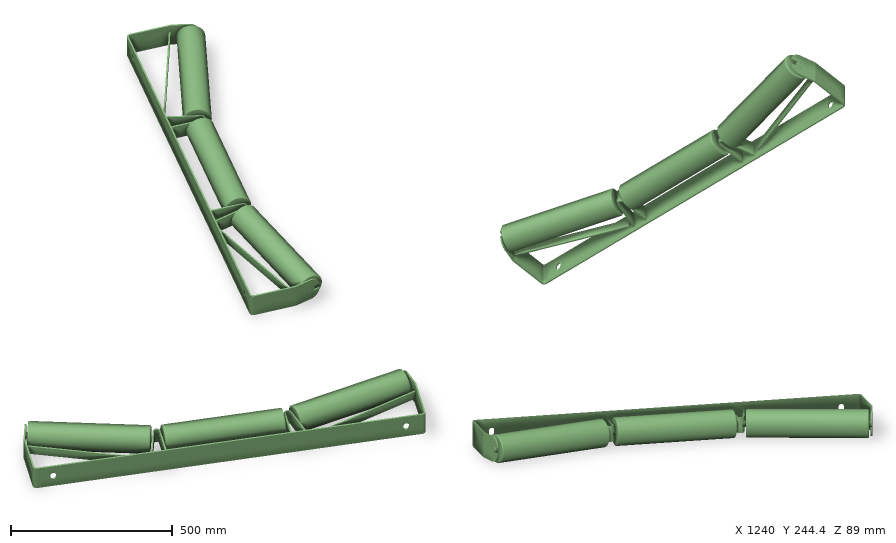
import cadquery as cq
import math


BAR_WIDTH = 80
BAR_THICKNESS = 5
BEND_INNER = 1.5 * BAR_THICKNESS
BEND_OUTER = BEND_INNER + BAR_THICKNESS

FRAME_LENGTH = 1240
TILT_DEGREES = 15
TILT_SIN = math.sin(math.radians(TILT_DEGREES))
TILT_COS = math.cos(math.radians(TILT_DEGREES))
END_ARM_LENGTH = 86
ARM_CORNER_RADIUS = 32
BOLT_SPACING = 1114
BOLT_SLOT_WIDTH = 18
BOLT_SLOT_LENGTH = 25

ROLLER_DIAMETER = 89
ROLLER_LENGTH = 380
ROLLER_EDGE_RADIUS = 4
ROLLER_GAP = 5.1
SHAFT_DIAMETER = 20
SHAFT_FLATS = 18
SLOT_CORNER_RADIUS = 5
SEAT_SPAN = ROLLER_LENGTH + 2 * ROLLER_GAP
CENTRE_ROLLER_HEIGHT = 99
SIDE_ROLLER_HEIGHT = 153.15

BRACKET_WIDTH = 50
BRACKET_HEIGHT = 123
BRACKET_BEND_X = SEAT_SPAN / 2 + BEND_OUTER
BRACKET_BEND_Y = BRACKET_HEIGHT - BEND_OUTER

BRACE_WIDTH = 30
BRACE_THICKNESS = 5
BRACE_WALL_HEIGHT = 137.5
BRACE_FOOT_X = 265

bracket_seat_distance = BRACKET_BEND_X * TILT_COS + BRACKET_BEND_Y * TILT_SIN + BEND_OUTER
side_roller_distance = bracket_seat_distance + SEAT_SPAN / 2
arm_seat_distance = bracket_seat_distance + SEAT_SPAN
side_roller_x = (side_roller_distance - SIDE_ROLLER_HEIGHT * TILT_SIN) / TILT_COS

frame_bend_x = FRAME_LENGTH / 2 - BEND_OUTER
knee_height = (arm_seat_distance - BEND_INNER - frame_bend_x * TILT_COS) / TILT_SIN


def tilted(along, across, origin):
    """Point on the right half: `along` up the tilted arm, `across` outward from it."""
    x = origin[0] - along * TILT_SIN + across * TILT_COS
    y = origin[1] + along * TILT_COS + across * TILT_SIN
    return (x, y)


def extruded(profile, width):
    """Close an XY outline and make it a bar centred on Z = 0."""
    return profile.close().extrude(width).translate((0, 0, -width / 2))


def mirrored(body):
    """Copy of a right-hand body on the left."""
    return body.mirror("YZ")


def place_on_side_axis(body):
    """Move a body lying on the X axis at the origin to the right-hand side roller's axis."""
    turned = body.rotate((0, 0, 0), (0, 0, 1), TILT_DEGREES)
    return turned.translate((side_roller_x, SIDE_ROLLER_HEIGHT, 0))


def seat_slot(end):
    """Cutter for the open slot that one shaft end drops into; `end` is +1 or -1 along X."""
    depth = SHAFT_DIAMETER / 2
    slot = (
        cq.Workplane("XY")
        .box(BAR_THICKNESS, depth + END_ARM_LENGTH, SHAFT_FLATS, centered=(True, False, True))
        .faces("<Y")
        .edges("|X")
        .fillet(SLOT_CORNER_RADIUS)
    )
    return slot.translate((end * (SEAT_SPAN + BAR_THICKNESS) / 2, -depth, 0))


def frame_half():
    """Right half of the bent bar: base, corner bend, end wall, knee bend and tilted end arm."""
    half = FRAME_LENGTH / 2
    knee = (frame_bend_x, knee_height)
    half_turn = math.radians(TILT_DEGREES / 2)

    def knee_middle(radius):
        x = frame_bend_x + radius * math.cos(half_turn)
        return (x, knee_height + radius * math.sin(half_turn))

    def corner_middle(radius):
        return (frame_bend_x + radius * math.sqrt(0.5), BEND_OUTER - radius * math.sqrt(0.5))

    profile = (
        cq.Workplane("XY")
        .lineTo(frame_bend_x, 0)
        .threePointArc(corner_middle(BEND_OUTER), (half, BEND_OUTER))
        .lineTo(half, knee_height)
        .threePointArc(knee_middle(BEND_OUTER), tilted(0, BEND_OUTER, knee))
        .lineTo(*tilted(END_ARM_LENGTH, BEND_OUTER, knee))
        .lineTo(*tilted(END_ARM_LENGTH, BEND_INNER, knee))
        .lineTo(*tilted(0, BEND_INNER, knee))
        .threePointArc(knee_middle(BEND_INNER), (half - BAR_THICKNESS, knee_height))
        .lineTo(half - BAR_THICKNESS, BEND_OUTER)
        .threePointArc(corner_middle(BEND_INNER), (frame_bend_x, BAR_THICKNESS))
        .lineTo(0, BAR_THICKNESS)
    )
    bar = extruded(profile, BAR_WIDTH)
    arm_tip = tilted(END_ARM_LENGTH, (BEND_OUTER + BEND_INNER) / 2, knee)
    tip_corners = cq.selectors.BoxSelector(
        (arm_tip[0] - BAR_THICKNESS, arm_tip[1] - BAR_THICKNESS, -BAR_WIDTH),
        (arm_tip[0] + BAR_THICKNESS, arm_tip[1] + BAR_THICKNESS, BAR_WIDTH))
    tilt_axis = cq.Vector(TILT_COS, TILT_SIN, 0)
    bar = bar.edges(tip_corners).edges(cq.selectors.ParallelDirSelector(tilt_axis))
    bar = bar.fillet(ARM_CORNER_RADIUS)
    bolt_slot = (
        cq.Workplane("XZ")
        .center(BOLT_SPACING / 2, 0)
        .slot2D(BOLT_SLOT_LENGTH, BOLT_SLOT_WIDTH, 90)
        .extrude(-BAR_THICKNESS)
    )
    return bar.cut(bolt_slot).cut(place_on_side_axis(seat_slot(1)))


right_half = frame_half()
frame = right_half.union(mirrored(right_half)).clean()


def inner_bracket():
    """Inverted U on the right: an upright leg and a tilted leg, both standing on the base bar."""
    centre = (BRACKET_BEND_X, BRACKET_BEND_Y)
    top_turn = math.radians((180 + TILT_DEGREES) / 2)

    def leg_foot(radius):
        along = (BAR_THICKNESS - BRACKET_BEND_Y - radius * TILT_SIN) / TILT_COS
        return tilted(along, radius, centre)

    def crown(radius):
        return (centre[0] + radius * math.cos(top_turn), centre[1] + radius * math.sin(top_turn))

    profile = (
        cq.Workplane("XY")
        .moveTo(centre[0] - BEND_OUTER, BAR_THICKNESS)
        .lineTo(centre[0] - BEND_OUTER, centre[1])
        .threePointArc(crown(BEND_OUTER), tilted(0, BEND_OUTER, centre))
        .lineTo(*leg_foot(BEND_OUTER))
        .lineTo(*leg_foot(BEND_INNER))
        .lineTo(*tilted(0, BEND_INNER, centre))
        .threePointArc(crown(BEND_INNER), (centre[0] - BEND_INNER, centre[1]))
        .lineTo(centre[0] - BEND_INNER, BAR_THICKNESS)
    )
    centre_seat = seat_slot(1).translate((0, CENTRE_ROLLER_HEIGHT, 0))
    side_seat = place_on_side_axis(seat_slot(-1))
    return extruded(profile, BRACKET_WIDTH).cut(centre_seat).cut(side_seat)


right_bracket = inner_bracket()
brackets = [right_bracket, mirrored(right_bracket)]


def brace():
    """Strut on the right, cut square at its foot on the base bar and flush with the end wall."""
    wall_x = FRAME_LENGTH / 2 - BAR_THICKNESS
    slope = math.atan2(BRACE_WALL_HEIGHT - BAR_THICKNESS, wall_x - BRACE_FOOT_X)
    foot_top = (
        BRACE_FOOT_X - BRACE_THICKNESS * math.sin(slope),
        BAR_THICKNESS + BRACE_THICKNESS * math.cos(slope),
    )
    profile = (
        cq.Workplane("XY")
        .moveTo(BRACE_FOOT_X, BAR_THICKNESS)
        .lineTo(wall_x, BRACE_WALL_HEIGHT)
        .lineTo(wall_x, BRACE_WALL_HEIGHT + BRACE_THICKNESS / math.cos(slope))
        .lineTo(*foot_top)
    )
    return extruded(profile, BRACE_WIDTH)


right_brace = brace()
braces = [right_brace, mirrored(right_brace)]


def roller():
    """Roller shell and shaft on the X axis, with flats on the shaft ends that sit in the seats."""
    shell = (
        cq.Workplane("YZ", origin=(-ROLLER_LENGTH / 2, 0, 0))
        .circle(ROLLER_DIAMETER / 2)
        .extrude(ROLLER_LENGTH)
        .edges()
        .fillet(ROLLER_EDGE_RADIUS)
    )
    shaft_length = SEAT_SPAN + 2 * BAR_THICKNESS
    shaft = (
        cq.Workplane("YZ", origin=(-shaft_length / 2, 0, 0))
        .circle(SHAFT_DIAMETER / 2)
        .extrude(shaft_length)
        .intersect(cq.Workplane("XY").box(shaft_length, SHAFT_DIAMETER, SHAFT_FLATS))
    )
    return shell.union(shaft)


centre_roller = roller().translate((0, CENTRE_ROLLER_HEIGHT, 0))
side_roller = place_on_side_axis(roller())
rollers = [centre_roller, side_roller, mirrored(side_roller)]


bodies = [frame, *brackets, *braces, *rollers]
result = cq.Compound.makeCompound([body.val() for body in bodies])